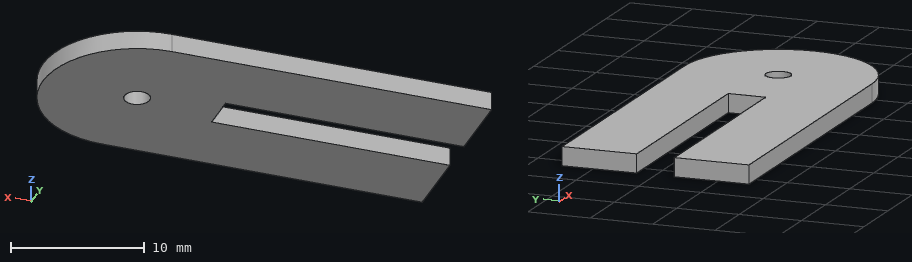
import cadquery as cq

length = 33.0
width = 15.0
thickness = 1.5
end_radius = width / 2
straight_length = length - end_radius

slot_length = 19.0
slot_width = 3.0

hole_diameter = 2.0


def rounded_plate():
    """Plate with its rounded end centred on the origin and its straight end toward -X."""
    return (
        cq.Workplane("XY")
        .moveTo(-straight_length, -width / 2)
        .lineTo(0, -width / 2)
        .threePointArc((end_radius, 0), (0, width / 2))
        .lineTo(-straight_length, width / 2)
        .close()
        .extrude(thickness)
    )


def prong_slot():
    """Cutter for the slot, running inward from the straight end."""
    return (
        cq.Workplane("XY")
        .center(-straight_length + slot_length / 2, 0)
        .rect(slot_length, slot_width)
        .extrude(thickness)
    )


def pivot_hole():
    """Cutter for the hole at the centre of the rounded end."""
    return cq.Workplane("XY").circle(hole_diameter / 2).extrude(thickness)


result = rounded_plate().cut(prong_slot()).cut(pivot_hole())